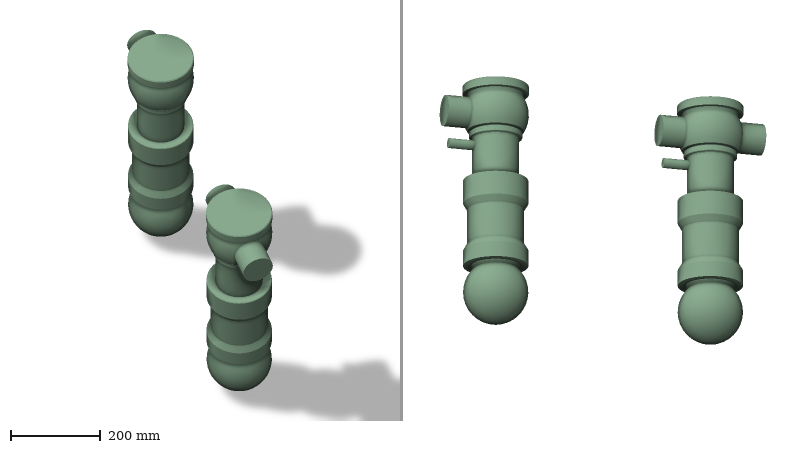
import cadquery as cq

stack_spacing = 500.0
total_height = 556.0

lid_diameter = 148.0
lid_thickness = 20.0
lid_bevel = 2.0
neck_diameter = 126.0
chamber_diameter = 148.0
chamber_center_z = total_height - 68.0
outlet_diameter = 70.0
outlet_reach = 120.0

joint_z = total_height - 116.0
joint_flange_diameter = 119.0
joint_flange_thickness = 7.0
joint_neck_diameter = 105.0
root_diameter = 109.0
root_bevel = (root_diameter - joint_neck_diameter) / 2
joint_neck_height = 4.0
flange_bevel = 1.5

stem_diameter = joint_neck_diameter
branch_diameter = 22.0
branch_reach = 110.0
branch_z = total_height - 143.5
base_flange_diameter = 146.0
base_flange_thickness = 7.0
base_flange_top_z = total_height - 221.0
base_flange_bottom_z = base_flange_top_z - base_flange_thickness

sleeve_diameter = base_flange_diameter
waist_diameter = 127.0
sleeve_top_z = base_flange_bottom_z
sleeve_bottom_z = total_height - 422.0
upper_end_height = 47.0
lower_end_height = 35.5
cone_height = 15.5

ball_diameter = 146.0
seat_diameter = 109.0
seat_rim_height = 1.5
seat_height = 7.5


def disc(diameter, bottom_z, height):
    return cq.Workplane("XY").workplane(offset=bottom_z).circle(diameter / 2).extrude(height)


def side_pipe(diameter, center_z, reach):
    """Cylinder along X from the stack axis out to the signed reach."""
    pipe = cq.Workplane("YZ").center(0, center_z).circle(diameter / 2)
    return pipe.extrude(reach)


def revolve_outline(outline):
    """Turn a closed (radius, height) outline about the stack axis."""
    return outline.close().revolve(360, (0, 0, 0), (0, 1, 0))


def circle_half_width(radius, offset):
    """Half the chord of a circle at a given distance from its center."""
    return (radius**2 - offset**2) ** 0.5


def make_chamber(bottom_z):
    """Sphere cut flat at the bottom and where it meets the neck."""
    radius = chamber_diameter / 2
    neck_radius = neck_diameter / 2
    top_z = chamber_center_z + circle_half_width(radius, neck_radius)
    bottom_radius = circle_half_width(radius, chamber_center_z - bottom_z)
    outline = (
        cq.Workplane("XZ")
        .moveTo(0, bottom_z)
        .lineTo(bottom_radius, bottom_z)
        .threePointArc((radius, chamber_center_z), (neck_radius, top_z))
        .lineTo(0, top_z)
    )
    return revolve_outline(outline)


def make_joint_half(height):
    """Flange standing on height zero, with a bevelled root up to a neck of the given height."""
    flange_radius = joint_flange_diameter / 2
    neck_radius = joint_neck_diameter / 2
    outline = (
        cq.Workplane("XZ")
        .lineTo(flange_radius, 0)
        .lineTo(flange_radius, joint_flange_thickness - flange_bevel)
        .lineTo(flange_radius - flange_bevel, joint_flange_thickness)
        .lineTo(root_diameter / 2, joint_flange_thickness)
        .lineTo(neck_radius, joint_flange_thickness + root_bevel)
        .lineTo(neck_radius, height)
        .lineTo(0, height)
    )
    return revolve_outline(outline)


def make_head(outlet_directions):
    lid_bottom_z = total_height - lid_thickness
    lid = disc(lid_diameter, lid_bottom_z, lid_thickness).faces(">Z").chamfer(lid_bevel)
    neck = disc(neck_diameter, chamber_center_z, lid_bottom_z - chamber_center_z)
    chamber_bottom_z = joint_z + joint_flange_thickness + joint_neck_height
    chamber = make_chamber(chamber_bottom_z)
    joint_half = make_joint_half(chamber_bottom_z - joint_z).translate((0, 0, joint_z))
    head = lid.union(neck).union(chamber).union(joint_half)
    for direction in outlet_directions:
        head = head.union(side_pipe(outlet_diameter, chamber_center_z, direction * outlet_reach))
    return head


def make_stem():
    groove_bottom_z = base_flange_top_z - root_bevel
    tube = make_joint_half(joint_z - groove_bottom_z)
    tube = tube.rotate((0, 0, 0), (1, 0, 0), 180).translate((0, 0, joint_z))
    base_radius = base_flange_diameter / 2
    outline = (
        cq.Workplane("XZ")
        .moveTo(0, base_flange_bottom_z)
        .lineTo(base_radius, base_flange_bottom_z)
        .lineTo(base_radius, base_flange_top_z - flange_bevel)
        .lineTo(base_radius - flange_bevel, base_flange_top_z)
        .lineTo(root_diameter / 2, base_flange_top_z)
        .lineTo(stem_diameter / 2, groove_bottom_z)
        .lineTo(0, groove_bottom_z)
    )
    base_flange = revolve_outline(outline)
    branch = side_pipe(branch_diameter, branch_z, -branch_reach)
    return tube.union(base_flange).union(branch)


def make_sleeve():
    end_radius = sleeve_diameter / 2
    waist_radius = waist_diameter / 2
    upper_end_z = sleeve_top_z - upper_end_height
    lower_end_z = sleeve_bottom_z + lower_end_height
    outline = (
        cq.Workplane("XZ")
        .moveTo(0, sleeve_bottom_z)
        .lineTo(end_radius, sleeve_bottom_z)
        .lineTo(end_radius, lower_end_z)
        .lineTo(waist_radius, lower_end_z + cone_height)
        .lineTo(waist_radius, upper_end_z - cone_height)
        .lineTo(end_radius, upper_end_z)
        .lineTo(end_radius, sleeve_top_z)
        .lineTo(0, sleeve_top_z)
    )
    return revolve_outline(outline)


def make_ball():
    radius = ball_diameter / 2
    seat_radius = seat_diameter / 2
    seat_bottom_z = sleeve_bottom_z - seat_height
    cut_radius = circle_half_width(radius, seat_bottom_z - radius)
    outline = (
        cq.Workplane("XZ")
        .threePointArc((radius, radius), (cut_radius, seat_bottom_z))
        .lineTo(seat_radius, sleeve_bottom_z - seat_rim_height)
        .lineTo(seat_radius, sleeve_bottom_z)
        .lineTo(0, sleeve_bottom_z)
    )
    return revolve_outline(outline)


stacks = [(0, [-1]), (stack_spacing, [-1, 1])]

bodies = []
for stack_x, outlet_directions in stacks:
    head = make_head(outlet_directions)
    stem = make_stem()
    sleeve = make_sleeve()
    ball = make_ball()
    for body in (head, stem, sleeve, ball):
        bodies.append(body.translate((stack_x, 0, 0)).val())

result = cq.Compound.makeCompound(bodies)